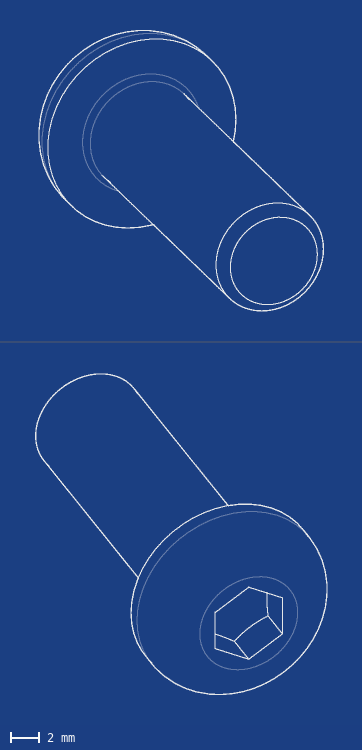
import cadquery as cq
import math

total_length = 29.4
head_diameter = 14.0
head_height = 4.4
rim_width = 1.1
shank_diameter = 8.0
neck_fillet = 0.4
tip_chamfer = 0.75
socket_across_flats = 5.05
socket_depth = 2.6
socket_cone_angle = 120.0

head_radius = head_diameter / 2
shank_radius = shank_diameter / 2
dome_radius = head_height - rim_width
face_radius = head_radius - dome_radius
socket_corner_radius = socket_across_flats / math.sqrt(3)


def make_body():
    """Revolve the half profile of head and shank about the X axis."""
    arc_offset = dome_radius * math.sqrt(0.5)
    dome_middle = (dome_radius - arc_offset, face_radius + arc_offset)
    neck_middle = (
        head_height + neck_fillet * (1 - math.sqrt(0.5)),
        shank_radius + neck_fillet * (1 - math.sqrt(0.5)),
    )
    return (
        cq.Workplane("XY")
        .lineTo(0, face_radius)
        .threePointArc(dome_middle, (dome_radius, head_radius))
        .lineTo(head_height, head_radius)
        .lineTo(head_height, shank_radius + neck_fillet)
        .threePointArc(neck_middle, (head_height + neck_fillet, shank_radius))
        .lineTo(total_length - tip_chamfer, shank_radius)
        .lineTo(total_length, shank_radius - tip_chamfer)
        .lineTo(total_length, 0)
        .close()
        .revolve(360, (0, 0, 0), (1, 0, 0))
    )


def make_socket():
    """Hexagonal recess, corners up and down, ending in a conical floor."""
    cone_depth = socket_corner_radius / math.tan(math.radians(socket_cone_angle / 2))
    hexagon = (
        cq.Workplane("YZ")
        .transformed(rotate=(0, 0, 90))
        .polygon(6, 2 * socket_corner_radius)
        .extrude(socket_depth + cone_depth)
    )
    pointed_cylinder = (
        cq.Workplane("XY")
        .lineTo(0, socket_corner_radius)
        .lineTo(socket_depth, socket_corner_radius)
        .lineTo(socket_depth + cone_depth, 0)
        .close()
        .revolve(360, (0, 0, 0), (1, 0, 0))
    )
    return hexagon.intersect(pointed_cylinder)


result = make_body().cut(make_socket())